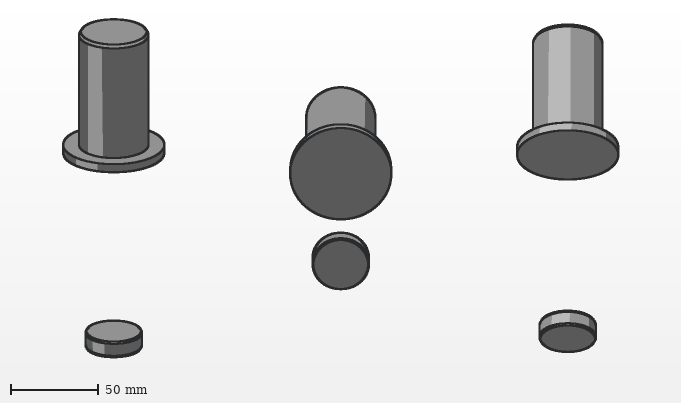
import cadquery as cq

OVERALL_HEIGHT = 195.5
PIN_DIAMETER = 39.9
PIN_CHAMFER_HEIGHT = 2.0
PIN_CHAMFER_WIDTH = 1.2
FLANGE_DIAMETER = 58.0
FLANGE_THICKNESS = 5.0
FLANGED_PIN_HEIGHT = 75.0

DISC_DIAMETER = 32.5
DISC_THICKNESS = 9.8
DISC_CHAMFER_HEIGHT = 1.2
DISC_CHAMFER_WIDTH = 0.5


def make_bevelled_cylinder(bottom, diameter, height, rims, bevel_height, bevel_width):
    """Upright cylinder whose selected end rims are bevelled to a steep cone."""
    radius = diameter / 2
    top = bottom + height
    profile = cq.Workplane("XZ").moveTo(0, bottom)
    if "bottom" in rims:
        profile = profile.lineTo(radius - bevel_width, bottom).lineTo(radius, bottom + bevel_height)
    else:
        profile = profile.lineTo(radius, bottom)
    if "top" in rims:
        profile = profile.lineTo(radius, top - bevel_height).lineTo(radius - bevel_width, top)
    else:
        profile = profile.lineTo(radius, top)
    return profile.lineTo(0, top).close().revolve(360, (0, 0, 0), (0, 1, 0))


def make_flanged_pin():
    """Round pin with a bevelled top end and a flange around its foot."""
    flange_bottom = OVERALL_HEIGHT - FLANGED_PIN_HEIGHT
    flange = (
        cq.Workplane("XY")
        .workplane(offset=flange_bottom)
        .circle(FLANGE_DIAMETER / 2)
        .extrude(FLANGE_THICKNESS)
    )
    shank = make_bevelled_cylinder(
        flange_bottom + FLANGE_THICKNESS,
        PIN_DIAMETER,
        FLANGED_PIN_HEIGHT - FLANGE_THICKNESS,
        ("top",),
        PIN_CHAMFER_HEIGHT,
        PIN_CHAMFER_WIDTH,
    )
    return flange.union(shank)


def make_disc():
    """Flat disc with both rims bevelled."""
    return make_bevelled_cylinder(
        0,
        DISC_DIAMETER,
        DISC_THICKNESS,
        ("bottom", "top"),
        DISC_CHAMFER_HEIGHT,
        DISC_CHAMFER_WIDTH,
    )


flanged_pin = make_flanged_pin()
disc = make_disc()
result = cq.Compound.makeCompound([flanged_pin.val(), disc.val()])